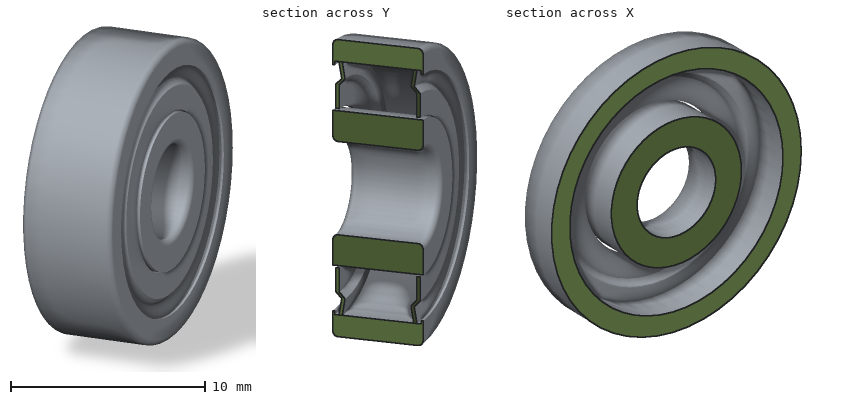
import cadquery as cq

OUTER_RADIUS = 8.0
WIDTH = 5.0
HALF_WIDTH = WIDTH / 2
EDGE_FILLET = 0.3

INNER_RING_RADIUS = 4.18
BORE_RADIUS = 2.5
OUTER_RING_BORE_RADIUS = 6.8
LIP_RADIUS = 6.6
LIP_THICKNESS = 0.13

SHIELD_HOLE_RADIUS = 4.27
FLAT_RADIUS = 5.57
GROOVE_INNER_RADIUS = 5.9
GROOVE_OUTER_RADIUS = 5.97

RIM_DEPTH = 0.34
GROOVE_DEPTH = 0.48
FLAT_DEPTH = 0.16
SHIELD_THICKNESS = 0.2


def ring(outer_radius, inner_radius, length):
    """A plain ring about the X axis, centred on the middle of the bearing."""
    return (
        cq.Workplane("YZ", origin=(-length / 2, 0, 0))
        .circle(outer_radius)
        .circle(inner_radius)
        .extrude(length)
    )


def make_outer_ring():
    """The outer ring: outer edges rounded, and a thin inward lip at each end of its bore."""
    body = ring(OUTER_RADIUS, LIP_RADIUS, WIDTH)
    body = body.edges(cq.selectors.RadiusNthSelector(-1)).fillet(EDGE_FILLET)
    bore_between_lips = (
        cq.Workplane("YZ", origin=(LIP_THICKNESS - HALF_WIDTH, 0, 0))
        .circle(OUTER_RING_BORE_RADIUS)
        .extrude(WIDTH - 2 * LIP_THICKNESS)
    )
    return body.cut(bore_between_lips)


def make_inner_ring():
    """The inner ring, with both edges of its bore rounded."""
    blank = ring(INNER_RING_RADIUS, BORE_RADIUS, WIDTH)
    return blank.edges(cq.selectors.RadiusNthSelector(0)).fillet(EDGE_FILLET)


def make_shield(side):
    """A dished sheet shield behind a lip of the outer ring; side is -1 or +1 for the -X or +X end."""
    surface = [
        (OUTER_RING_BORE_RADIUS, RIM_DEPTH),
        (GROOVE_OUTER_RADIUS, GROOVE_DEPTH),
        (GROOVE_INNER_RADIUS, GROOVE_DEPTH),
        (FLAT_RADIUS, FLAT_DEPTH),
        (SHIELD_HOLE_RADIUS, FLAT_DEPTH),
    ]
    outside = [(side * (HALF_WIDTH - depth), radius) for radius, depth in surface]
    inside = [(x - side * SHIELD_THICKNESS, radius) for x, radius in reversed(outside)]
    return (
        cq.Workplane("XY")
        .polyline(outside + inside)
        .close()
        .revolve(360, (0, 0, 0), (1, 0, 0))
    )


outer_ring = make_outer_ring()
inner_ring = make_inner_ring()
shields = [make_shield(side) for side in (-1, 1)]

result = cq.Compound.makeCompound(
    [outer_ring.val(), inner_ring.val(), *[shield.val() for shield in shields]]
)